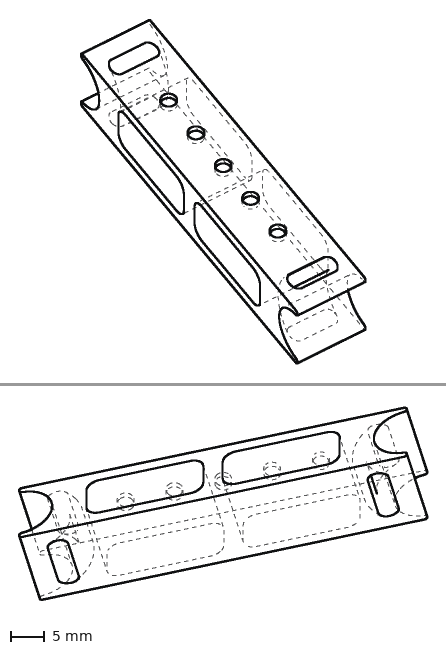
import cadquery as cq

length = 59.5
width = 12.0
height = 12.2

saddle_radius = 5.05
lip_round = 0.5

window_length = 17.95
window_height = 8.05
window_corner_radius = 2.0
rib_thickness = 3.0

hole_count = 5
hole_diameter = 2.5
hole_pitch = 7.5
hole_depth = 1.0

channel_inner_radius = 7.1
channel_thickness = 2.0
channel_width = 8.1

saddle_centers = (-length / 2, length / 2)


def make_body():
    """Block with a saddle cut into each end and rounded lips."""
    body = cq.Workplane("XY").box(length, width, height)
    for x in saddle_centers:
        saddle = cq.Workplane("XZ").center(x, 0).circle(saddle_radius).extrude(width / 2, both=True)
        body = body.cut(saddle)
    return body.edges("|Y").fillet(lip_round)


def make_windows():
    """Two rounded rectangular openings running right through along Y."""
    offset = (rib_thickness + window_length) / 2
    return (
        cq.Workplane("XZ")
        .pushPoints([(-offset, 0), (offset, 0)])
        .rect(window_length, window_height)
        .extrude(width / 2, both=True)
        .edges("|Y")
        .fillet(window_corner_radius)
    )


def make_holes():
    """Row of blind holes sunk from the top face."""
    return (
        cq.Workplane("XY", origin=(0, 0, height / 2 - hole_depth))
        .rarray(hole_pitch, 0.6, hole_count, 1)
        .circle(hole_diameter / 2)
        .extrude(hole_depth)
    )


def make_channel(center_x):
    """Round-ended slot swept in a ring around the saddle axis."""
    middle_radius = channel_inner_radius + channel_thickness / 2
    return (
        cq.Workplane("XY", origin=(center_x, 0, 0))
        .center(middle_radius, 0)
        .slot2D(channel_width, channel_thickness, 90)
        .revolve(360, (-middle_radius, 0), (-middle_radius, 1))
    )


result = make_body().cut(make_windows()).cut(make_holes())
for x in saddle_centers:
    result = result.cut(make_channel(x))